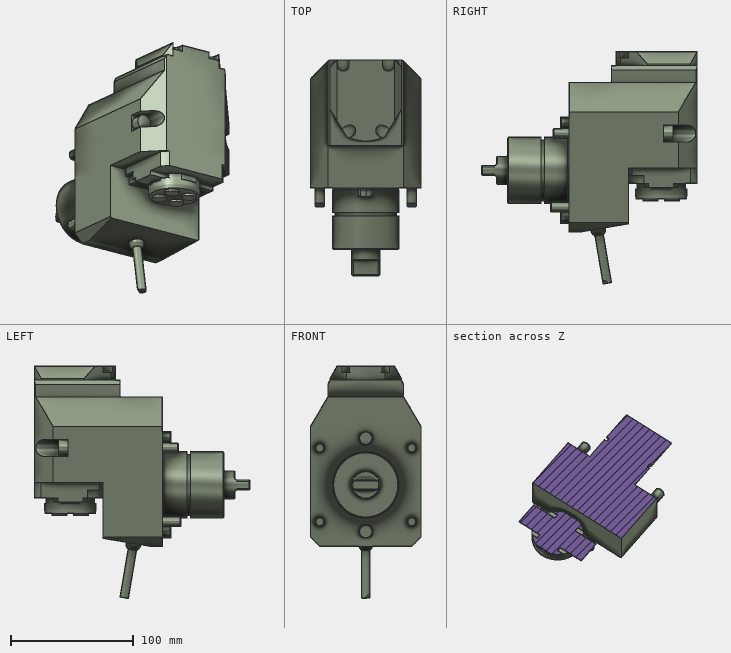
import cadquery as cq
import math


clearance = 1.9

half_width = 45.0
back_y = 104.2
roof_z = 71.7
roof_half_width = 30.8
shoulder_z = 47.7
base_z = -50.1
base_chamfer = 7.8
back_chamfer = 15.3
rear_front_y = 48.5
rear_floor_z = 1.9
slope_start_y = 9.3
slope_end_z = -43.5
base_tilt = math.atan2(slope_end_z - base_z, rear_front_y - slope_start_y)

cap_front_y = 34.5
cap_z = 85.3
cap_edge_z = 81.7
cap_half_width = 29.1
cap_ledge = 0.4

cover_z = 96.6
cover_rim_z = 86.5
cover_half_width = 23.5
cover_back_chamfer = 5.7
cover_side_front_y = 64.0
cover_nose_half_width = 15.5
cover_nose_radius = 36.7
notch_radius = 4.7
notch_depth = 5.3
rear_notch_x = 18.3
rear_notch_y = 99.9
nose_notch_x = 12.9
nose_notch_y = 46.5
nose_notch_angle = 30

channel_z = 30.0
channel_width = 13.8
channel_axis_x = 37.8
channel_end_y = 76.8
clamp_head_diameter = 13.0
clamp_head_length = 8.0

shank_diameter = 54.0
relief_diameter = 53.5
relief_length = 1.5
groove_diameter = 50.0
groove_start = 20.0
groove_end = 22.9
shank_length = 50.1
shank_chamfer = 1.0
neck_diameter = 23.0
neck_length = 8.9
neck_chamfer = 0.8
tang_thickness = 8.3
tang_length = 12.5
tang_chamfer = 1.0
tang_fillet = 1.7
tang_flat_half_width = 9.8

plug_diameter = 12.0
plug_z = 38.0
plug_length = 7.2
plug_chamfer = 1.0
plug_ridge = 5.3
plug_flat_edge = 4.3
screw_diameter = 8.0
screw_tip_diameter = 6.5
screw_x = 37.5
screw_z = 30.0
upper_screw_length = 13.0
lower_screw_length = 15.3

output_y = 74.9
pad_half_width = 31.5
pad_bottom_z = -10.5
pad_corner_radius = 39.5
pad_recess_x = 26.1
pad_recess_y = 61.0
pad_recess_z = -4.2
pad_recess_fillet = 5.3
tab_half_length = 10.2
tab_bottom_z = -14.0
ring_diameter = 42.0
ring_bottom_z = -23.0
ring_edge_z = -20.0
ring_taper = 0.5
ring_flat = 19.7
ring_flat_z = -15.3
ring_slot_half_length = 13.6
ring_slot_inner_x = 10.4
foot_diameter = 12.1
foot_offset = 8.7
foot_height = 1.7

ball_radius = 6.0
ball_y = 23.6
ball_z = -48.0
cable_diameter = 7.0
cable_end_z = -92.5
cable_bevel_width = 1.5
cable_bevel_length = 2.8
cable_bevel_turn = 45


def block(x_range, y_range, z_range):
    """Box given by its limits along each axis."""
    limits = (x_range, y_range, z_range)
    sizes = [high - low for low, high in limits]
    corner = tuple(low for low, high in limits)
    return cq.Workplane("XY").box(*sizes, centered=False).translate(corner)


def profile_along_y(points, start_y, end_y):
    """Outline of (x, z) points extruded between two Y places."""
    outline = cq.Workplane("XZ", origin=(0, start_y, 0)).polyline(points).close()
    return outline.extrude(start_y - end_y)


def mirrored(right_side):
    """Closed symmetric outline from its right-hand points."""
    return right_side + [(-x, z) for x, z in reversed(right_side)]


def rod(x, z, start_y, end_y, diameter):
    """Cylinder along Y between two Y places."""
    plane = cq.Workplane("XZ", origin=(x, start_y, z))
    return plane.circle(diameter / 2).extrude(start_y - end_y)


def make_housing():
    body = profile_along_y(
        mirrored([
            (roof_half_width, roof_z),
            (half_width, shoulder_z),
            (half_width, base_z + base_chamfer),
            (half_width - base_chamfer, base_z),
        ]),
        0, back_y,
    )
    cap = profile_along_y(
        mirrored([
            (cap_half_width, cap_z),
            (roof_half_width, cap_edge_z),
            (roof_half_width, roof_z),
        ]),
        cap_front_y, back_y,
    )
    ledge = block(
        (-roof_half_width, roof_half_width),
        (cap_front_y - cap_ledge, cap_front_y),
        (rear_floor_z, roof_z + cap_ledge),
    )
    side_profile = (
        cq.Workplane("YZ")
        .polyline([
            (0, base_z), (slope_start_y, base_z), (rear_front_y, slope_end_z),
            (rear_front_y, rear_floor_z), (back_y, rear_floor_z),
            (back_y, cap_z), (0, cap_z),
        ])
        .close()
        .extrude(half_width, both=True)
    )
    plan = (
        cq.Workplane("XY", origin=(0, 0, base_z))
        .polyline(mirrored([
            (half_width, 0),
            (half_width, back_y - back_chamfer),
            (half_width - back_chamfer, back_y),
        ]))
        .close()
        .extrude(cap_z - base_z)
    )
    return body.union(cap).union(ledge).intersect(side_profile).intersect(plan)


def make_notch(x, y, angle):
    """Round-ended notch in the cover top, open in the direction of the angle."""
    height = notch_depth
    run = 2 * notch_radius
    notch = cq.Workplane("XY").circle(notch_radius).extrude(height)
    notch = notch.union(block((0, run), (-notch_radius, notch_radius), (0, height)))
    return notch.rotate((0, 0, 0), (0, 0, 1), angle).translate((x, y, cover_z - height))


def make_cover():
    nose_y = output_y - math.sqrt(cover_nose_radius**2 - cover_nose_half_width**2)
    plan = (
        cq.Workplane("XY", origin=(0, 0, cap_z))
        .moveTo(-cover_half_width, back_y)
        .lineTo(cover_half_width, back_y)
        .lineTo(cap_half_width, back_y - cover_back_chamfer)
        .lineTo(cap_half_width, cover_side_front_y)
        .lineTo(cover_nose_half_width, nose_y)
        .threePointArc((0, output_y - cover_nose_radius), (-cover_nose_half_width, nose_y))
        .lineTo(-cap_half_width, cover_side_front_y)
        .lineTo(-cap_half_width, back_y - cover_back_chamfer)
        .close()
        .extrude(cover_z - cap_z)
    )
    section = profile_along_y(
        mirrored([
            (cover_half_width, cover_z),
            (cap_half_width, cover_rim_z),
            (cap_half_width, cap_z),
        ]),
        0, back_y,
    )
    cover = plan.intersect(section)
    for side in (-1, 1):
        cover = cover.cut(make_notch(side * rear_notch_x, rear_notch_y, 90))
        nose_angle = -90 + side * (90 - nose_notch_angle)
        cover = cover.cut(make_notch(side * nose_notch_x, nose_notch_y, nose_angle))
    return cover


def make_channel(side):
    """Round-floored channel, open to the side and the rear."""
    half = channel_width / 2
    floor_x = side * channel_axis_x
    channel = rod(floor_x, channel_z, channel_end_y, back_y, channel_width)
    x_range = sorted((floor_x, side * (half_width + clearance)))
    opening = block(x_range, (channel_end_y, back_y), (channel_z - half, channel_z + half))
    return channel.union(opening)


def make_clamp_head(side):
    end_y = channel_end_y + clamp_head_length
    return rod(side * channel_axis_x, channel_z, rear_front_y, end_y, clamp_head_diameter)


def make_ring_cutter(start, end, floor_diameter):
    """Ring that turns the shank down between two distances from the flange."""
    outer = rod(0, 0, -start, -end, shank_diameter + clearance)
    return outer.cut(rod(0, 0, -start, -end, floor_diameter))


def make_spindle():
    shank = rod(0, 0, 0, -shank_length, shank_diameter)
    shank = shank.faces("<Y").chamfer(shank_chamfer)
    shank = shank.cut(make_ring_cutter(0, relief_length, relief_diameter))
    shank = shank.cut(make_ring_cutter(groove_start, groove_end, groove_diameter))
    return shank


def make_tang():
    """Neck whose end is milled down to a flat driving tang."""
    neck_y = -shank_length - neck_length
    tip_y = neck_y - tang_length
    neck = rod(0, 0, -shank_length, neck_y, neck_diameter).faces("<Y").chamfer(neck_chamfer)
    round_tang = rod(0, 0, -shank_length, tip_y, neck_diameter).faces("<Y").chamfer(tang_chamfer)
    flat = tang_thickness / 2
    root_y = neck_y - tang_fillet
    arc_middle = tang_fillet * (1 - math.sqrt(0.5))
    slab = (
        cq.Workplane("YZ")
        .moveTo(tip_y, flat - tang_chamfer)
        .lineTo(tip_y + tang_chamfer, flat)
        .lineTo(root_y, flat)
        .threePointArc((neck_y - arc_middle, flat + arc_middle), (neck_y, flat + tang_fillet))
        .lineTo(-shank_length, flat + tang_fillet)
        .lineTo(-shank_length, 0)
        .lineTo(tip_y, 0)
        .close()
        .extrude(neck_diameter, both=True)
    )
    bevel_run = neck_diameter / 2 - tang_flat_half_width
    bevel = profile_along_y(
        [
            (tang_flat_half_width, flat),
            (tang_flat_half_width + bevel_run, flat),
            (tang_flat_half_width + bevel_run, flat - bevel_run),
        ],
        tip_y, root_y,
    )
    slab = slab.cut(bevel).cut(bevel.mirror("YZ"))
    slab = slab.union(slab.mirror("XY"))
    return neck.union(round_tang.intersect(slab))


def make_plug():
    """Plug on the flange face with two flats along its upper side."""
    radius = plug_diameter / 2
    edge_z = math.sqrt(radius**2 - plug_flat_edge**2)
    plug = rod(0, 0, 0, -plug_length, plug_diameter).faces("<Y").chamfer(plug_chamfer)
    above_flats = profile_along_y(
        [
            (0, plug_ridge), (plug_flat_edge, edge_z), (plug_flat_edge, radius),
            (-plug_flat_edge, radius), (-plug_flat_edge, edge_z),
        ],
        -plug_length, 0,
    )
    return plug.cut(above_flats).translate((0, 0, plug_z))


def make_flange_hardware():
    plug = make_plug()
    parts = [plug, plug.mirror("XY")]
    for side in (-1, 1):
        screw_length = upper_screw_length if side > 0 else lower_screw_length
        for x in (-screw_x, screw_x):
            screw = rod(x, side * screw_z, 0, -screw_length, screw_diameter)
            parts.append(screw.faces("<Y").chamfer((screw_diameter - screw_tip_diameter) / 2))
    return parts


def make_pad():
    """Pad with round corners under the rear housing, recessed at the front."""
    pad = block(
        (-pad_half_width, pad_half_width), (rear_front_y, back_y), (pad_bottom_z, rear_floor_z)
    )
    disc = cq.Workplane("XY", origin=(0, output_y, pad_bottom_z)).circle(pad_corner_radius)
    pad = pad.intersect(disc.extrude(rear_floor_z - pad_bottom_z))
    for side in (-1, 1):
        x_range = sorted((side * pad_recess_x, side * (pad_half_width + clearance)))
        recess = block(x_range, (rear_front_y, pad_recess_y), (pad_bottom_z, pad_recess_z))
        inner_edge = cq.NearestToPointSelector((side * pad_recess_x, pad_recess_y, pad_recess_z))
        recess = recess.edges("|Z").edges(inner_edge).fillet(pad_recess_fillet)
        pad = pad.cut(recess)
        tab_x = sorted((side * ring_slot_inner_x, side * pad_half_width))
        tab_y = (output_y - tab_half_length, output_y + tab_half_length)
        pad = pad.union(block(tab_x, tab_y, (tab_bottom_z, pad_bottom_z)))
    return pad


def make_output_ring():
    radius = ring_diameter / 2
    ring = (
        cq.Workplane("XZ")
        .polyline([
            (0, pad_bottom_z), (radius, pad_bottom_z), (radius, ring_edge_z),
            (radius - ring_taper, ring_bottom_z), (0, ring_bottom_z),
        ])
        .close()
        .revolve(360, (0, 0, 0), (0, 1, 0))
    )
    flat = block((ring_flat, radius), (-radius, radius), (ring_flat_z, pad_bottom_z))
    slot = block(
        (ring_slot_inner_x, radius), (-ring_slot_half_length, ring_slot_half_length),
        (tab_bottom_z, pad_bottom_z),
    )
    for quarter in range(4):
        ring = ring.cut(flat.rotate((0, 0, 0), (0, 0, 1), 90 * quarter))
    ring = ring.cut(slot).cut(slot.mirror("YZ"))
    feet = (
        cq.Workplane("XY", origin=(0, 0, ring_bottom_z))
        .rect(2 * foot_offset, 2 * foot_offset, forConstruction=True)
        .vertices()
        .circle(foot_diameter / 2)
        .extrude(-foot_height)
    )
    return ring.union(feet).translate((0, output_y, 0))


def make_cable():
    """Ball joint and straight cable, square to the sloped base."""
    radius = cable_diameter / 2
    bevel_half_angle = math.acos(1 - cable_bevel_width / radius)
    lowest_angle = bevel_half_angle - math.radians(cable_bevel_turn)
    end_drop = radius * math.cos(lowest_angle) * math.sin(base_tilt)
    length = (ball_z - cable_end_z - end_drop) / math.cos(base_tilt)
    cable = cq.Workplane("XY").circle(radius).extrude(-length)
    bevel = (
        cq.Workplane("YZ")
        .polyline([
            (-radius, -length), (cable_bevel_width - radius, -length),
            (-radius, cable_bevel_length - length),
        ])
        .close()
        .extrude(radius, both=True)
        .rotate((0, 0, 0), (0, 0, 1), cable_bevel_turn)
    )
    cable = cable.cut(bevel).union(cq.Workplane("XY").sphere(ball_radius))
    cable = cable.rotate((0, 0, 0), (1, 0, 0), math.degrees(base_tilt))
    return cable.translate((0, ball_y, ball_z))


result = make_housing().union(make_cover())
for side in (-1, 1):
    result = result.cut(make_channel(side)).union(make_clamp_head(side))
result = result.union(make_pad()).union(make_output_ring())
result = result.union(make_spindle()).union(make_tang())
for hardware in make_flange_hardware():
    result = result.union(hardware)
result = result.union(make_cable())